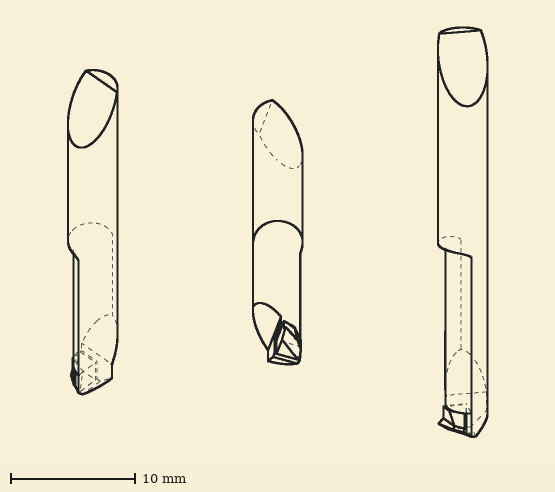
import cadquery as cq
import math

LENGTH = 34.0
RADIUS = 2.0
SLOPE_ANGLE = 30.0

NECK_SHIFT = 0.6
NECK_TOP = 15.47

TOP_FLAT_Y = 1.02
FLAT_Y = 0.17
FLAT_TOP = 2.92
CORNER_CHAMFER = 1.33

TIP_HEIGHT = 2.05
TIP_RAKE_Y = 0.0
TIP_LEFT = -1.6
FLANK_X = -0.27
FLANK_Y = -1.87
MIDDLE_X = -0.95
MIDDLE_Y = -1.35
TOP_MIDDLE_X = -1.33
TOP_MIDDLE_Y = -1.0
HOOK_TOP_RIM = 1.02
HOOK_TOP_MIDDLE = 0.8
HOOK_TOP_FLANK = 0.75
EDGE_RIM = (-RADIUS, 0.58)
EDGE_MIDDLE = (-1.12, 0.55)
EDGE_FLANK = (-0.35, 0.45)
HEEL_RIM_X = -1.12
HEEL_MIDDLE_X = -0.05
HEEL_FLANK_X = 0.27

MARGIN = 0.35
SPLIT_X = NECK_SHIFT / 2
SPLIT_Y = -math.sqrt(RADIUS**2 - SPLIT_X**2)


def cylinder(x, height):
    return cq.Workplane("XY").center(x, 0).circle(RADIUS).extrude(height)


def side_prism(points):
    """Prism through the full bar width from a Y-Z outline."""
    width = 2 * (RADIUS + MARGIN)
    return cq.Workplane("YZ").polyline(points).close().extrude(width / 2, both=True)


def make_neck_envelope():
    """Shifted cylinder that flares out through a concave shoulder."""
    fillet = NECK_SHIFT
    shoulder_z = NECK_TOP + fillet
    flare_radius = RADIUS + fillet
    mid_offset = fillet * (1 - math.cos(math.radians(45)))
    full_radius = 2 * RADIUS
    return (
        cq.Workplane("XZ")
        .moveTo(0, 0)
        .lineTo(RADIUS, 0)
        .lineTo(RADIUS, NECK_TOP)
        .threePointArc((RADIUS + mid_offset, shoulder_z - mid_offset), (flare_radius, shoulder_z))
        .lineTo(full_radius, shoulder_z)
        .lineTo(full_radius, LENGTH)
        .lineTo(0, LENGTH)
        .close()
        .revolve(360, (0, 0, 0), (0, 1, 0))
        .translate((NECK_SHIFT, 0, 0))
    )


def make_bar():
    slope = 1 / math.tan(math.radians(SLOPE_ANGLE))
    outside = RADIUS + MARGIN
    body = cylinder(0, LENGTH).intersect(make_neck_envelope())

    top_run = TOP_FLAT_Y + outside
    top_cut = side_prism([(TOP_FLAT_Y, LENGTH), (-outside, LENGTH), (-outside, LENGTH - top_run * slope)])

    runout_end = FLAT_TOP + (outside - FLAT_Y) * slope
    flat_cut = side_prism([(FLAT_Y, 0), (FLAT_Y, FLAT_TOP), (outside, runout_end), (outside, 0)])

    corner_cut = (
        cq.Workplane("XZ")
        .polyline([(RADIUS - CORNER_CHAMFER, 0), (RADIUS, CORNER_CHAMFER), (RADIUS, 0)])
        .close()
        .extrude(outside, both=True)
    )

    seat = cq.Workplane("XY").box(2 * outside, 2 * outside, TIP_HEIGHT, centered=False)
    seat = seat.translate((SPLIT_X - 2 * outside, -outside, 0))
    return body.cut(top_cut).cut(flat_cut).cut(corner_cut).cut(seat)


def make_flank_block():
    """Upper part of the tip, with two flank facets that twist toward the hook."""
    def outline(middle):
        return [(TIP_LEFT, TIP_RAKE_Y), middle, (FLANK_X, FLANK_Y), (SPLIT_X, FLANK_Y), (SPLIT_X, TIP_RAKE_Y)]

    return (
        cq.Workplane("XY", origin=(0, 0, HOOK_TOP_FLANK))
        .polyline(outline((MIDDLE_X, MIDDLE_Y)))
        .close()
        .workplane(offset=TIP_HEIGHT - HOOK_TOP_FLANK)
        .polyline(outline((TOP_MIDDLE_X, TOP_MIDDLE_Y)))
        .close()
        .loft(ruled=True)
    )


def hook_section(y, heel_x, edge, top_x, top_z):
    """Hook outline in a plane of constant Y."""
    edge_x, edge_z = edge
    points = [(SPLIT_X, 0), (heel_x, 0), (edge_x, edge_z), (top_x, top_z), (SPLIT_X, top_z)]
    return cq.Wire.makePolygon([cq.Vector(x, y, z) for x, z in points], close=True)


def make_hook():
    rim = hook_section(TIP_RAKE_Y, HEEL_RIM_X, EDGE_RIM, TIP_LEFT, HOOK_TOP_RIM)
    middle = hook_section(MIDDLE_Y, HEEL_MIDDLE_X, EDGE_MIDDLE, MIDDLE_X, HOOK_TOP_MIDDLE)
    flank = hook_section(FLANK_Y, HEEL_FLANK_X, EDGE_FLANK, FLANK_X, HOOK_TOP_FLANK)
    return cq.Workplane(cq.Solid.makeLoft([rim, middle, flank], True))


def make_front_land():
    """Strip of the neck surface between the flank and the shank."""
    strip = (
        cq.Workplane("XZ", origin=(0, FLANK_Y + MARGIN, 0))
        .polyline([(FLANK_X, TIP_HEIGHT), (SPLIT_X, TIP_HEIGHT), (SPLIT_X, 0), (FLANK_X, EDGE_FLANK[1])])
        .close()
        .extrude(FLANK_Y + MARGIN - SPLIT_Y)
    )
    return strip.intersect(cylinder(NECK_SHIFT, TIP_HEIGHT))


def make_tip():
    tip = make_flank_block().union(make_hook()).union(make_front_land())
    return tip.intersect(cylinder(0, TIP_HEIGHT))


bar = make_bar()
tip = make_tip()
result = cq.Compound.makeCompound([bar.solids().val(), tip.solids().val()])